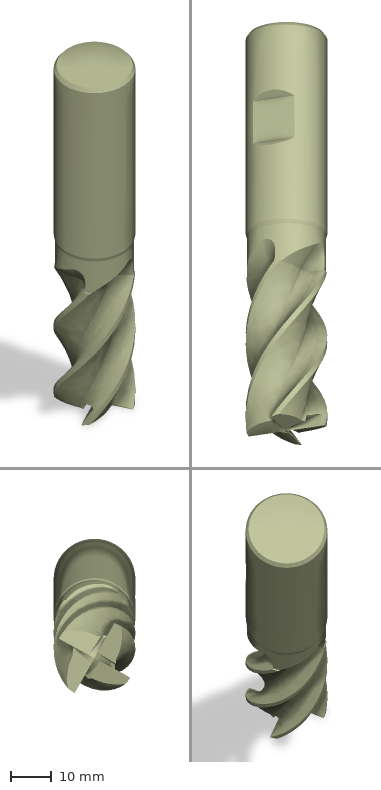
import cadquery as cq
import math


LENGTH = 104.0
CUTTER_RADIUS = 10.0
CUTTER_DIAMETER = 2 * CUTTER_RADIUS
CUTTER_LENGTH = 41.0

NECK_RADIUS = 9.7
SHANK_RADIUS = CUTTER_RADIUS
SHANK_START = 51.9
NECK_CONE_HEIGHT = 1.0
TOP_CHAMFER_HEIGHT = 1.0
TOP_CHAMFER_INSET = 0.7

FLAT_DEPTH = 1.7
FLAT_BOTTOM = 73.4
FLAT_TOP = 84.5

TEETH = 4
TOOTH_PITCH = 360 / TEETH
FIRST_TOOTH = -90.0
HELIX_ANGLE = 38.0
LEAD = math.pi * CUTTER_DIAMETER / math.tan(math.radians(HELIX_ANGLE))
TWIST_PER_LENGTH = 360 / LEAD
CUTTER_TWIST = TWIST_PER_LENGTH * CUTTER_LENGTH
LAND_ANGLE = 9.0
CORNER_RADIUS = 5.5
CORNER_ANGLE = 82.0
ROOT_RADIUS = 3.8
BACK_BULGE = 0.5

RUNOUT_HEIGHT = 7.3
RUNOUT_SECTIONS = 5
RUNOUT_TWIST_PER_LENGTH = 3.077
RUNOUT_EXIT_ANGLE = 64.0
RUNOUT_SLOPE = 0.45
RUNOUT_CURVE_RADIUS = 12.7
RUNOUT_REACH = 20.8

RELIEF_ANGLE = 14.0
GASH_RAKE_ANGLE = 34.0
GASH_BACK_ANGLE = 19.0
GASH_OFFSET = 0.2
GASH_WIDTH = 1.4
GASH_FLOOR_ANGLE = 30.0
GASH_HEIGHT = 4.1
CLEARANCE = 1.0


def polar(radius, angle):
    turn = math.radians(angle)
    return cq.Vector(radius * math.cos(turn), radius * math.sin(turn))


def xy(point):
    return (point.x, point.y)


def flute_points(tooth_angle):
    """One flute's heel, middle of the back, three points of the root arc, and next cutting edge."""
    heel = polar(CUTTER_RADIUS, tooth_angle + LAND_ANGLE)
    edge = polar(CUTTER_RADIUS, tooth_angle + TOOTH_PITCH)
    corner = polar(CORNER_RADIUS, tooth_angle + CORNER_ANGLE)
    to_heel = (heel - corner).normalized()
    to_edge = (edge - corner).normalized()
    half_angle = to_heel.getAngle(to_edge) / 2
    tangent_length = ROOT_RADIUS / math.tan(half_angle)
    root_start = corner + to_heel * tangent_length
    root_end = corner + to_edge * tangent_length
    bisector = (to_heel + to_edge).normalized()
    root_middle = corner + bisector * (ROOT_RADIUS / math.sin(half_angle) - ROOT_RADIUS)
    away_from_flute = cq.Vector(-to_heel.y, to_heel.x)
    back_middle = (heel + root_start) * 0.5 + away_from_flute * BACK_BULGE
    return heel, back_middle, root_start, root_middle, root_end, edge


def around_teeth(shape):
    """Copies of a shape made for the tooth on +X, one for each tooth of the cutting end."""
    turns = [FIRST_TOOTH + i * TOOTH_PITCH for i in range(TEETH)]
    return [shape.rotate((0, 0, 0), (0, 0, 1), turn) for turn in turns]


def fluted_bar():
    outline = cq.Workplane("XY").moveTo(*xy(polar(CUTTER_RADIUS, FIRST_TOOTH)))
    for i in range(TEETH):
        tooth_angle = FIRST_TOOTH + i * TOOTH_PITCH
        land_middle = polar(CUTTER_RADIUS, tooth_angle + LAND_ANGLE / 2)
        heel, back_middle, root_start, root_middle, root_end, edge = flute_points(tooth_angle)
        outline = (
            outline.threePointArc(xy(land_middle), xy(heel))
            .threePointArc(xy(back_middle), xy(root_start))
            .threePointArc(xy(root_middle), xy(root_end))
            .lineTo(*xy(edge))
        )
    return outline.close().twistExtrude(CUTTER_LENGTH, CUTTER_TWIST)


def end_relief():
    """Wedge under the tooth on +X, rising from its radial edge towards its heel."""
    reach = CUTTER_RADIUS + CLEARANCE
    rise = reach * math.tan(math.radians(RELIEF_ANGLE))
    section = [(0, 0), (reach, rise), (reach, -CLEARANCE), (0, -CLEARANCE)]
    return cq.Workplane("YZ").polyline(section).close().extrude(reach)


def end_gash():
    """Leaning slot before the tooth on +X, with a floor that climbs outward and then runs level."""
    reach = CUTTER_RADIUS + CLEARANCE
    rake_run = math.tan(math.radians(GASH_RAKE_ANGLE))
    back_run = math.tan(math.radians(GASH_BACK_ANGLE))
    back_offset = GASH_OFFSET + GASH_WIDTH
    slot_section = [
        (-GASH_OFFSET - CLEARANCE * rake_run, -CLEARANCE),
        (-GASH_OFFSET + GASH_HEIGHT * rake_run, GASH_HEIGHT),
        (-back_offset + GASH_HEIGHT * back_run, GASH_HEIGHT),
        (-back_offset - CLEARANCE * back_run, -CLEARANCE),
    ]
    slot = cq.Workplane("YZ").polyline(slot_section).close().extrude(reach)
    level_start = GASH_HEIGHT / math.tan(math.radians(GASH_FLOOR_ANGLE))
    under_floor = [
        (0, 0),
        (level_start, GASH_HEIGHT),
        (reach, GASH_HEIGHT),
        (reach, -CLEARANCE),
        (0, -CLEARANCE),
    ]
    return slot.intersect(cq.Workplane("XZ").polyline(under_floor).close().extrude(reach, both=True))


def make_cutter():
    cutter = fluted_bar()
    for cut in around_teeth(end_relief()) + around_teeth(end_gash()):
        cutter = cutter.cut(cut)
    return cutter.solids()


def runout_section(tooth_angle, height):
    """Open-sided flute section, turned and moved outward for its height above the cutter."""
    turned_angle = tooth_angle + RUNOUT_TWIST_PER_LENGTH * height
    heel, back_middle, root_start, root_middle, root_end, edge = flute_points(turned_angle)
    heel_outside = heel + (heel - back_middle).normalized() * RUNOUT_REACH
    edge_outside = root_end + (edge - root_end).normalized() * RUNOUT_REACH
    curve_drop = RUNOUT_CURVE_RADIUS - math.sqrt(RUNOUT_CURVE_RADIUS**2 - height**2)
    outward = polar(RUNOUT_SLOPE * height + curve_drop, tooth_angle + RUNOUT_EXIT_ANGLE)
    lift = outward + cq.Vector(0, 0, CUTTER_LENGTH + height)
    heel_side = cq.Edge.makeLine(heel_outside + lift, heel + lift)
    back = cq.Edge.makeThreePointArc(heel + lift, back_middle + lift, root_start + lift)
    root = cq.Edge.makeThreePointArc(root_start + lift, root_middle + lift, root_end + lift)
    rake = cq.Edge.makeLine(root_end + lift, edge_outside + lift)
    closing = cq.Edge.makeLine(edge_outside + lift, heel_outside + lift)
    return cq.Wire.assembleEdges([heel_side, back, root, rake, closing])


def flute_runout(tooth_angle):
    step = RUNOUT_HEIGHT / (RUNOUT_SECTIONS - 1)
    return cq.Solid.makeLoft([runout_section(tooth_angle, i * step) for i in range(RUNOUT_SECTIONS)])


def turned_shank():
    profile = [
        (0, CUTTER_LENGTH),
        (NECK_RADIUS, CUTTER_LENGTH),
        (NECK_RADIUS, SHANK_START - NECK_CONE_HEIGHT),
        (SHANK_RADIUS, SHANK_START),
        (SHANK_RADIUS, LENGTH - TOP_CHAMFER_HEIGHT),
        (SHANK_RADIUS - TOP_CHAMFER_INSET, LENGTH),
        (0, LENGTH),
    ]
    return cq.Workplane("XZ").polyline(profile).close().revolve(360, (0, 0, 0), (0, 1, 0))


def clamping_flat():
    """Flat with 45 degree ends, cut across the +Y side."""
    floor = SHANK_RADIUS - FLAT_DEPTH
    outside = SHANK_RADIUS + CLEARANCE
    slope = outside - floor
    section = [
        (floor, FLAT_BOTTOM),
        (outside, FLAT_BOTTOM - slope),
        (outside, FLAT_TOP + slope),
        (floor, FLAT_TOP),
    ]
    return cq.Workplane("YZ").polyline(section).close().extrude(SHANK_RADIUS, both=True)


def make_shank():
    shank = turned_shank().cut(clamping_flat())
    for i in range(TEETH):
        tooth_angle = FIRST_TOOTH + CUTTER_TWIST + i * TOOTH_PITCH
        shank = shank.cut(cq.Workplane(flute_runout(tooth_angle)))
    return shank.solids()


cutter = make_cutter()
shank = make_shank()
result = cq.Compound.makeCompound([cutter.val(), shank.val()])